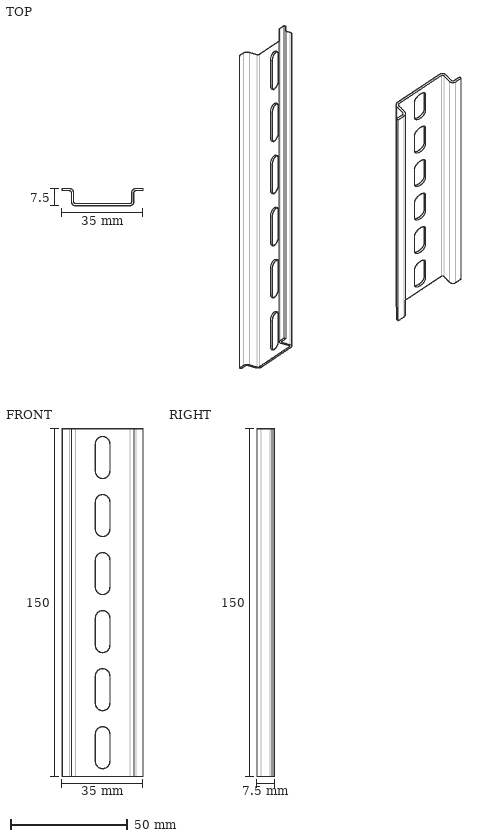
import cadquery as cq

length = 150.0
width = 35.0
depth = 7.5
sheet = 1.0

channel_width = 27.0
inner_bend = 0.8
outer_bend = inner_bend + sheet

slot_count = 6
slot_length = 18.0
slot_width = 6.2
slot_pitch = length / slot_count

half_width = width / 2
half_channel = channel_width / 2
half_inside = half_channel - sheet
front = -depth / 2
back = depth / 2


def bend_edges(body, corners, radius):
    """Round the lengthwise edges passing through mirrored (x, y) corners."""
    for x, y in corners:
        for side in (-1, 1):
            nearest = cq.selectors.NearestToPointSelector((side * x, y, 0))
            body = body.edges("|Z").edges(nearest).fillet(radius)
    return body


def make_rail():
    """Extrude the sharp section, then round its bends."""
    right_half = [
        (half_channel, front),
        (half_channel, back - sheet),
        (half_width, back - sheet),
        (half_width, back),
        (half_inside, back),
        (half_inside, front + sheet),
    ]
    left_half = [(-x, y) for x, y in reversed(right_half)]
    rail = (
        cq.Workplane("XY")
        .polyline(right_half + left_half)
        .close()
        .extrude(length / 2, both=True)
    )
    outer_corners = [(half_channel, front), (half_inside, back)]
    inner_corners = [(half_channel, back - sheet), (half_inside, front + sheet)]
    rail = bend_edges(rail, inner_corners, inner_bend)
    return bend_edges(rail, outer_corners, outer_bend)


def make_slots():
    """Evenly spaced lengthwise slots that pass through the web."""
    return (
        cq.Workplane("XZ")
        .rarray(1.5, slot_pitch, 1, slot_count)
        .slot2D(slot_length, slot_width, angle=90)
        .extrude(depth, both=True)
    )


result = make_rail().cut(make_slots())